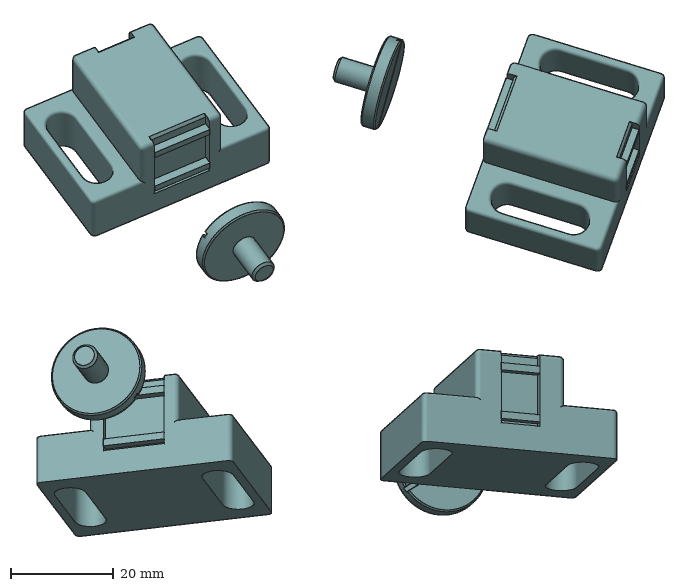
import cadquery as cq

length = 28.1
base_width = 40.0
base_height = 10.05
block_width = 18.2
block_height = 20.0
side_edge_radius = 1.0
base_top_radius = 0.6
block_top_radius = 1.0

slot_width = 6.25
slot_centre_distance = 13.7
slot_offset = 15.05

recess_depth = 1.5
recess_floor = 5.2
recess_chamfer = 0.55
front_recess_width = 7.95
rear_recess_width = 12.35
bar_thickness = 1.45
lower_bar_bottom = 6.1
upper_bar_bottom = 16.0
front_bar_setback = 0.1
rear_bar_projection = 0.2

overall_length = 61.2
overall_height = 20.3
disc_diameter = 18.4
disc_thickness = 3.0
disc_chamfer = 0.3
stem_diameter = 5.0
stem_length = 8.0
stem_chamfer = 0.5
knob_y = -0.2
knob_z = overall_height - disc_diameter / 2
groove_width = 1.0
groove_depth = 1.0
groove_angle = 35.3


def make_base():
    """Base plate with rounded edges and two mounting slots with rounded upper rims."""
    slot_centres = [(length / 2, -slot_offset), (length / 2, slot_offset)]
    slots = (
        cq.Workplane("XY").pushPoints(slot_centres)
        .slot2D(slot_centre_distance + slot_width, slot_width).extrude(base_height)
    )
    return (
        cq.Workplane("XY").box(length, base_width, base_height, centered=(False, True, False))
        .edges("|Z").fillet(side_edge_radius)
        .cut(slots)
        .faces(">Z").edges().fillet(base_top_radius)
    )


def make_block():
    """Raised block with rounded edges, standing on the same bottom plane as the base."""
    return (
        cq.Workplane("XY").box(length, block_width, block_height, centered=(False, True, False))
        .edges("|Z").fillet(side_edge_radius)
        .faces(">Z").edges().fillet(block_top_radius)
    )


def make_recess(width):
    """Cutter for the recess at the -X end, open at the top and chamfered there."""
    return (
        cq.Workplane("XZ", origin=(0, width / 2, 0))
        .moveTo(0, recess_floor)
        .lineTo(recess_depth, recess_floor)
        .lineTo(recess_depth, block_height - recess_chamfer)
        .lineTo(recess_depth + recess_chamfer, block_height)
        .lineTo(0, block_height)
        .close()
        .extrude(width)
    )


def make_bars(width, projection):
    """Two pole bars crossing the recess at the -X end; a negative projection sets them back."""
    bar_bottoms = [(-projection, 0, bottom) for bottom in (lower_bar_bottom, upper_bar_bottom)]
    return cq.Workplane("XY").pushPoints(bar_bottoms).box(
        recess_depth + projection, width, bar_thickness, centered=(False, True, False)
    )


def to_rear(shape):
    """Mirror a -X end feature to the +X end."""
    return shape.mirror("YZ", (length / 2, 0, 0))


def make_housing():
    return (
        make_base().union(make_block())
        .cut(make_recess(front_recess_width))
        .cut(to_rear(make_recess(rear_recess_width)))
        .union(make_bars(front_recess_width, -front_bar_setback))
        .union(to_rear(make_bars(rear_recess_width, rear_bar_projection)))
    )


def make_knob():
    disc_x = overall_length - stem_length - disc_thickness
    axis_plane = cq.Plane(origin=(disc_x, knob_y, knob_z), xDir=(0, 1, 0), normal=(1, 0, 0))
    disc = cq.Workplane(axis_plane).circle(disc_diameter / 2).extrude(disc_thickness)
    disc = disc.edges().chamfer(disc_chamfer)
    stem = (
        cq.Workplane(axis_plane).circle(stem_diameter / 2).extrude(disc_thickness + stem_length)
        .faces(">X").edges().chamfer(stem_chamfer)
    )
    groove = (
        cq.Workplane(axis_plane).transformed(rotate=(0, 0, -groove_angle))
        .rect(2 * disc_diameter, groove_width).extrude(groove_depth)
    )
    return disc.union(stem).cut(groove)


housing = make_housing()
knob = make_knob()

result = cq.Compound.makeCompound([housing.val(), knob.val()])